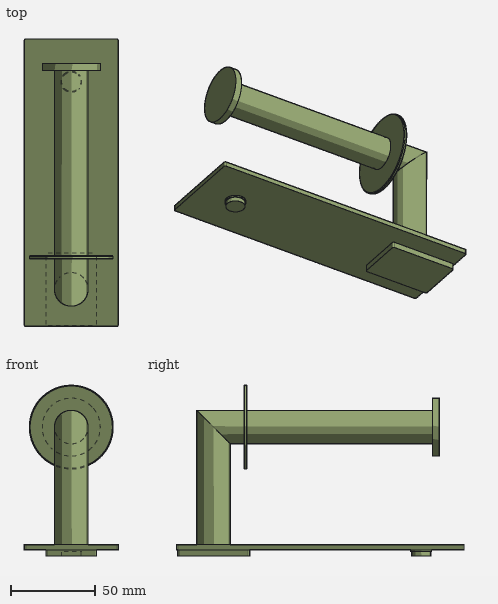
import cadquery as cq

plate_length = 171
plate_width = 55.9
plate_thickness = 3.0
corner_radius = 1.0

underside_depth = 3.8
pad_length = 42.9
pad_width = 30.0
pad_front_inset = 0.7
foot_diameter = 11.5
foot_rim_diameter = 12.5
foot_rim_thickness = 1.0
foot_y = 60.0

tube_diameter = 20.0
tube_radius = tube_diameter / 2
post_y = -63.5
overall_height = 101.7

flange_diameter = 49.9
flange_thickness = 2.0
flange_back_y = -43.5
flange_edge_chamfer = 0.5
end_disc_diameter = 34.5
end_disc_thickness = 4.1
end_disc_back_y = 70.8

arm_z = overall_height - underside_depth - flange_diameter / 2


def arm_cylinder(diameter, back_y, length):
    """Cylinder on the arm axis, running toward -Y from its back face."""
    return (
        cq.Workplane("XZ", origin=(0, back_y, arm_z))
        .circle(diameter / 2)
        .extrude(length)
    )


def rounded_plate(width, length, thickness):
    """Flat plate with rounded vertical corners and its underside at Z = 0."""
    return (
        cq.Workplane("XY")
        .box(width, length, thickness, centered=(True, True, False))
        .edges("|Z")
        .fillet(corner_radius)
    )


def mitred_tube():
    """Round post and arm joined by a 45 degree mitre."""
    return (
        cq.Workplane("XY", origin=(0, post_y, 0))
        .circle(tube_radius)
        .sweep(
            cq.Workplane("YZ")
            .moveTo(post_y, 0)
            .lineTo(post_y, arm_z)
            .lineTo(end_disc_back_y, arm_z),
            transition="right",
        )
    )


def foot():
    """Round foot with a slightly wider rim against the plate."""
    rim = cq.Workplane("XY").circle(foot_rim_diameter / 2).extrude(-foot_rim_thickness)
    stem = cq.Workplane("XY").circle(foot_diameter / 2).extrude(-underside_depth)
    return rim.union(stem).translate((0, foot_y, 0))


plate = rounded_plate(plate_width, plate_length, plate_thickness)

pad_y = -plate_length / 2 + pad_front_inset + pad_length / 2
pad = rounded_plate(pad_width, pad_length, underside_depth).translate((0, pad_y, -underside_depth))

flange = (
    arm_cylinder(flange_diameter, flange_back_y, flange_thickness)
    .faces("<Y or >Y")
    .chamfer(flange_edge_chamfer)
)
end_disc = arm_cylinder(end_disc_diameter, end_disc_back_y, end_disc_thickness)

result = plate.union(pad).union(foot()).union(mitred_tube()).union(flange).union(end_disc)